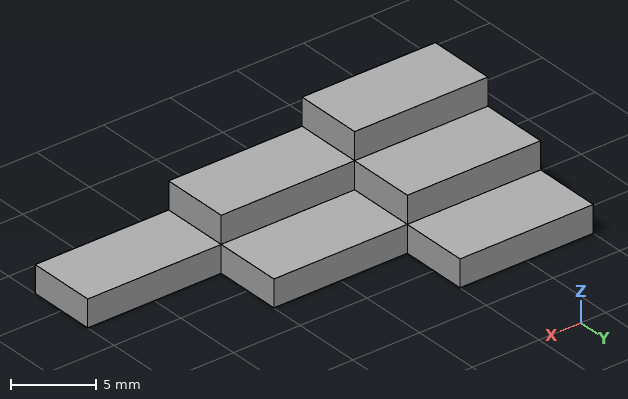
import cadquery as cq

length = 30.0
width = 15.0
height = 6.0
steps = 3

block_length = length / steps
block_width = width / steps
block_height = height / steps


def layer(level):
    """Staircase-shaped slab at one level; each level up has one row fewer."""
    rows = steps - level
    points = [(0, 0), (rows * block_length, 0)]
    for row in range(1, rows + 1):
        edge_x = (rows - row + 1) * block_length
        inner_x = (rows - row) * block_length
        points.append((edge_x, row * block_width))
        points.append((inner_x, row * block_width))
    return (
        cq.Workplane("XY")
        .workplane(offset=level * block_height)
        .polyline(points)
        .close()
        .extrude(block_height)
    )


result = layer(0)
for level in range(1, steps):
    result = result.union(layer(level))